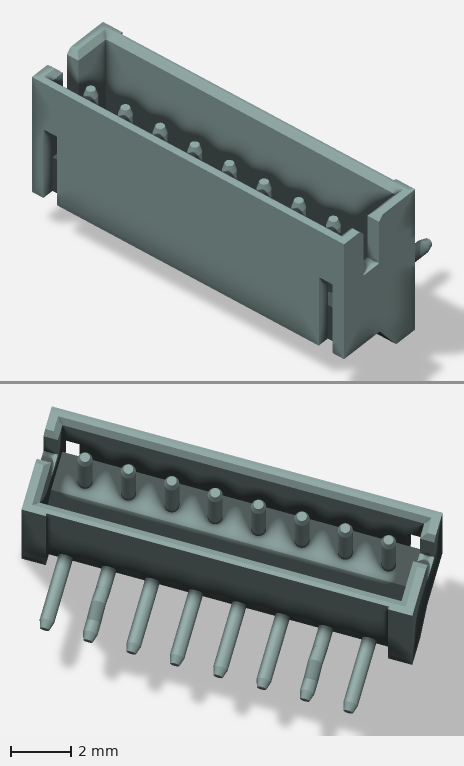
import cadquery as cq


LENGTH = 13.5
BODY_DEPTH = 3.7
HEIGHT = 6.1
FOOT_HEIGHT = 1.11

FOOT_WIDTH = 0.84
FOOT_BOTTOM_DEPTH = 0.99
FOOT_TOP_DEPTH = 1.84
REAR_RECESS_DEPTH = 0.1

END_WALL = 0.5
FRONT_WALL = 0.47
REAR_WALL = 0.45
RIM_CHAMFER = 0.2
FLOOR_DROP = 3.52
RAMP_START_Y = 1.84
RAMP_RUN = 0.42
INNER_LENGTH = LENGTH - 2 * END_WALL
INNER_REAR_Y = BODY_DEPTH - REAR_WALL
FLOOR_Z = HEIGHT - FLOOR_DROP

END_SLOT_FRONT_Y = 1.01
END_SLOT_WIDTH = 0.81
END_SLOT_DEPTH = 2.01
FRONT_SLOT_WIDTH = 0.6
FRONT_SLOT_HEIGHT = 2.98

PIN_COUNT = 8
PITCH = 1.5
PIN_DIAMETER = 0.5
PIN_TIP_DIAMETER = 0.32
PIN_TIP_LENGTH = 0.28
PIN_Y = 1.25
PIN_Z = FOOT_HEIGHT + PIN_DIAMETER / 2
PIN_TOP_DROP = 0.51
PIN_TOP_Z = HEIGHT - PIN_TOP_DROP
PIN_END_Y = 6.2

KINKED_PINS = (1, PIN_COUNT - 2)
KINK_TO_END = 1.27
KINK_HALF_LENGTH = 0.53
KINK_RISE = 0.28


def box(size_x, size_y, size_z, x_mid, y_front, z_bottom):
    """Box centred on x_mid, starting at y_front and z_bottom."""
    block = cq.Workplane("XY").box(size_x, size_y, size_z, centered=(True, False, False))
    return block.translate((x_mid, y_front, z_bottom))


def prism_along_x(points, length):
    """Extrude a (Y, Z) outline along X, centred on X = 0."""
    return cq.Workplane("YZ").polyline(points).close().extrude(length / 2, both=True)


def make_block():
    """Solid outer form with the two feet."""
    side_outline = [
        (0, FOOT_HEIGHT),
        (BODY_DEPTH - FOOT_TOP_DEPTH, FOOT_HEIGHT),
        (BODY_DEPTH - FOOT_BOTTOM_DEPTH, 0),
        (BODY_DEPTH, 0),
        (BODY_DEPTH, HEIGHT),
        (0, HEIGHT),
    ]
    between_feet = LENGTH - 2 * FOOT_WIDTH
    foot_gap = box(between_feet, BODY_DEPTH, FOOT_HEIGHT, 0, 0, 0)
    rear_recess = box(between_feet, REAR_RECESS_DEPTH, HEIGHT, 0, BODY_DEPTH - REAR_RECESS_DEPTH, 0)
    return prism_along_x(side_outline, LENGTH).cut(foot_gap).cut(rear_recess)


def make_cavity():
    """Open-topped pocket with a ramped floor and a chamfered rim."""
    floor_outline = [
        (FRONT_WALL, HEIGHT),
        (FRONT_WALL, FLOOR_Z),
        (RAMP_START_Y, FLOOR_Z),
        (RAMP_START_Y + RAMP_RUN, FLOOR_Z - RAMP_RUN),
        (INNER_REAR_Y, FLOOR_Z - RAMP_RUN),
        (INNER_REAR_Y, HEIGHT),
    ]
    inner_depth = INNER_REAR_Y - FRONT_WALL
    rim = (
        cq.Workplane("XY", origin=(0, FRONT_WALL + inner_depth / 2, HEIGHT))
        .rect(INNER_LENGTH + 2 * RIM_CHAMFER, inner_depth + 2 * RIM_CHAMFER)
        .extrude(-RIM_CHAMFER, taper=45)
    )
    return prism_along_x(floor_outline, INNER_LENGTH).union(rim)


def make_end_slots():
    """Slot through both end walls, chamfered at its mouth."""
    rear_y = END_SLOT_FRONT_Y + END_SLOT_WIDTH
    bottom_z = HEIGHT - END_SLOT_DEPTH
    outline = [
        (END_SLOT_FRONT_Y, bottom_z),
        (rear_y, bottom_z),
        (rear_y, HEIGHT - RIM_CHAMFER),
        (rear_y + RIM_CHAMFER, HEIGHT),
        (END_SLOT_FRONT_Y - RIM_CHAMFER, HEIGHT),
        (END_SLOT_FRONT_Y, HEIGHT - RIM_CHAMFER),
    ]
    return prism_along_x(outline, LENGTH)


def make_front_slot(side):
    """Slot up the front wall, flush with the inside of one end wall."""
    x_mid = side * (INNER_LENGTH - FRONT_SLOT_WIDTH) / 2
    return box(FRONT_SLOT_WIDTH, FRONT_WALL, FRONT_SLOT_HEIGHT, x_mid, 0, FOOT_HEIGHT)


def tapered_tip(plane):
    """Cone frustum that ends a pin leg, growing along the plane's normal."""
    return (
        plane.circle(PIN_DIAMETER / 2)
        .workplane(offset=PIN_TIP_LENGTH)
        .circle(PIN_TIP_DIAMETER / 2)
        .loft(ruled=True)
    )


def make_pin(x, kinked):
    """Bent pin: upright leg in the cavity, rear leg out through the rear wall."""
    upright_end = PIN_TOP_Z - PIN_TIP_LENGTH
    rear_end = PIN_END_Y - PIN_TIP_LENGTH
    kink_y = PIN_END_Y - KINK_TO_END

    upright = (
        cq.Workplane("XY", origin=(x, PIN_Y, PIN_Z))
        .circle(PIN_DIAMETER / 2)
        .extrude(upright_end - PIN_Z)
    )
    rear_axis = [(PIN_Y, PIN_Z), (rear_end, PIN_Z)]
    if kinked:
        rear_axis[1:1] = [
            (kink_y - KINK_HALF_LENGTH, PIN_Z),
            (kink_y, PIN_Z + KINK_RISE),
            (kink_y + KINK_HALF_LENGTH, PIN_Z),
        ]
    path = cq.Workplane("YZ", origin=(x, 0, 0)).polyline(rear_axis)
    rear = (
        cq.Workplane("XZ", origin=(x, PIN_Y, PIN_Z))
        .circle(PIN_DIAMETER / 2)
        .sweep(path, transition="right")
    )
    upright_tip = tapered_tip(cq.Workplane("XY", origin=(x, PIN_Y, upright_end)))
    rear_tip = tapered_tip(cq.Workplane(cq.Plane((x, rear_end, PIN_Z), (1, 0, 0), (0, 1, 0))))
    return upright.union(rear).union(upright_tip).union(rear_tip)


result = make_block().cut(make_cavity()).cut(make_end_slots())
for side in (-1, 1):
    result = result.cut(make_front_slot(side))
for index in range(PIN_COUNT):
    pin_x = (index - (PIN_COUNT - 1) / 2) * PITCH
    result = result.union(make_pin(pin_x, index in KINKED_PINS))